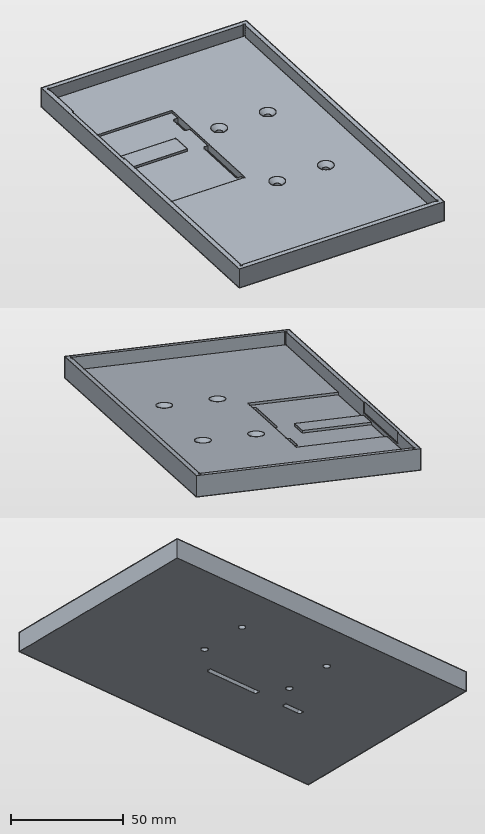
import cadquery as cq

length = 170.6
width = 105.8
height = 10.0
wall = 2.4
floor_thickness = 4.0
inner_length = length - 2 * wall
inner_width = width - 2 * wall
inner_front = -inner_width / 2

relief_radius = 0.5

hole_spacing_x = 50.0
hole_spacing_y = 25.0
hole_center_y = 15.4
hole_diameter = 3.2
countersink_diameter = 7.5
countersink_angle = 90

recess_left = -48.0
recess_right = 15.0
recess_back = -7.8
recess_depth = 1.2

strip_left = -27.8
strip_right = -17.7
strip_back = -17.9
strip_height = recess_depth

slot_spans = [(-42.8, -32.4), (-16.9, 12.1)]
slot_width = 2.5
slot_corner_radius = 1.0

notch_left = -61.6
notch_depth = 0.5
notch_sill = 1.0


def block(left, right, front, back, bottom, top):
    """Box given by its limits along X, Y and Z."""
    size = (right - left, back - front, top - bottom)
    return cq.Workplane("XY").box(*size, centered=False).translate((left, front, bottom))


def tray():
    body = cq.Workplane("XY").box(length, width, height, centered=(True, True, False))
    cavity_depth = height - floor_thickness
    cavity = (
        cq.Workplane("XY", origin=(0, 0, floor_thickness))
        .rect(inner_length, inner_width)
        .extrude(cavity_depth)
    )
    reliefs = (
        cq.Workplane("XY", origin=(0, 0, floor_thickness))
        .rect(inner_length, inner_width, forConstruction=True)
        .vertices()
        .circle(relief_radius)
        .extrude(cavity_depth)
    )
    return body.cut(cavity).cut(reliefs)


def drill_mounting_holes(body):
    return (
        body.copyWorkplane(cq.Workplane("XY", origin=(0, hole_center_y, floor_thickness)))
        .rect(hole_spacing_x, hole_spacing_y, forConstruction=True)
        .vertices()
        .cskHole(hole_diameter, countersink_diameter, countersink_angle)
    )


def floor_recess():
    recess_floor = floor_thickness - recess_depth
    pocket = block(recess_left, recess_right, inner_front, recess_back, recess_floor, floor_thickness)
    strip_top = recess_floor + strip_height
    strip = block(strip_left, strip_right, inner_front, strip_back, recess_floor, strip_top)
    return pocket.cut(strip)


def slot(left, right):
    """Through slot with rounded front corners and a straight back edge."""
    opening = block(left, right, recess_back - slot_width, recess_back, 0, floor_thickness)
    return opening.edges("|Z and <Y").fillet(slot_corner_radius)


def wall_notch():
    notch_front = inner_front - notch_depth
    sill_level = floor_thickness + notch_sill
    return block(notch_left, strip_right, notch_front, inner_front, sill_level, height)


result = drill_mounting_holes(tray()).cut(floor_recess()).cut(wall_notch())
for slot_left, slot_right in slot_spans:
    result = result.cut(slot(slot_left, slot_right))